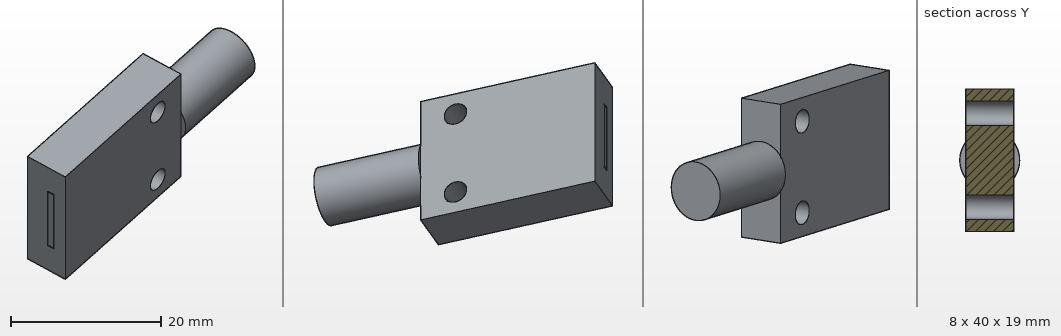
import cadquery as cq

body_width = 6.4
body_length = 25.0
body_height = 19.0

stem_diameter = 8.0
stem_length = 15.0

hole_diameter = 3.2
hole_spacing = 12.5
hole_to_rear_face = 5.0
hole_y = body_length - hole_to_rear_face

window_width = 1.0
window_height = 10.0
window_depth = 0.1
window_offset_x = 0.72


def make_body():
    return cq.Workplane("XY").box(
        body_width, body_length, body_height, centered=(True, False, True)
    )


def make_stem():
    rear_plane = cq.Plane(origin=(0, body_length, 0), xDir=(1, 0, 0), normal=(0, 1, 0))
    return cq.Workplane(rear_plane).circle(stem_diameter / 2).extrude(stem_length)


def make_mounting_holes():
    hole_centers = [(hole_y, side * hole_spacing / 2) for side in (-1, 1)]
    return (
        cq.Workplane("YZ")
        .pushPoints(hole_centers)
        .circle(hole_diameter / 2)
        .extrude(body_width, both=True)
    )


def make_window():
    return (
        cq.Workplane("XY")
        .box(window_width, window_depth, window_height, centered=(True, False, True))
        .translate((window_offset_x, 0, 0))
    )


result = make_body().union(make_stem()).cut(make_mounting_holes()).cut(make_window())